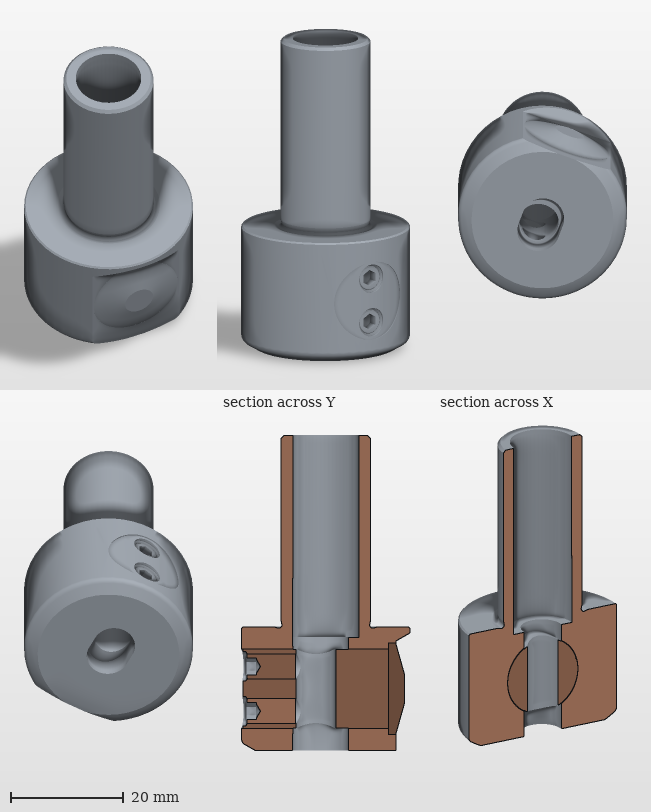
import cadquery as cq
import math

total_height = 56.0
head_height = 22.0
head_radius = 15.0

shank_radius = 8.0
shank_top_chamfer = 0.5
shank_bore_radius = 5.8
shank_bore_floor = 20.15

neck_radius = 7.85
undercut_fillet = 0.55
undercut_depth = 0.2
undercut_rim_radius = 9.1
neck_taper_height = 0.8

head_top_chamfer = 0.3
head_bottom_radius = 12.6
head_bottom_angle = 30.0
head_bottom_blend = 1.3

flat_x = 12.5
flat_top = 19.45
slope_angle = 30.0

cartridge_axis_z = 11.0
cartridge_radius = 7.05
cartridge_setback = 0.2
tool_hole_radius = 3.5
tool_hole_x = -1.75

slot_width = 7.5
slot_end_offset = 1.2
slot_center_x = slot_width / 2 + slot_end_offset - shank_bore_radius

dial_radius = 8.05
dial_back_x = 11.2
dial_face_x = 14.0
dial_face_radius = 2.7

screw_offset_z = 4.0
screw_radius = 2.2
screw_chamfer = 0.1
screw_face_x = -14.05
screw_tip_x = -5.4
screw_seat_radius = 2.6
screw_seat_cone_depth = 0.2
screw_seat_floor_x = -14.2
hex_across_flats = 2.5
hex_depth = 1.7
hex_cone_angle = 60.0


def x_cylinder(radius, start_x, end_x, z):
    """Solid cylinder along X at height z in the middle plane."""
    return (
        cq.Workplane("YZ", origin=(start_x, 0, z))
        .circle(radius)
        .extrude(end_x - start_x)
    )


def x_revolve(points, z):
    """Solid turned from (x, radius) points about the X-parallel axis at height z."""
    return (
        cq.Workplane("XZ", origin=(0, 0, z))
        .polyline(points)
        .close()
        .revolve(360, (0, 0, 0), (1, 0, 0))
    )


def turned_blank():
    """Head and shank in one turning, with the blended bottom edge and the undercut."""
    angle = math.radians(head_bottom_angle)
    corner_z = (head_radius - head_bottom_radius) * math.tan(angle)
    blend_reach = head_bottom_blend * math.tan((math.pi / 2 - angle) / 2)
    blend_start = (
        head_radius - blend_reach * math.cos(angle),
        corner_z - blend_reach * math.sin(angle),
    )
    blend_center = (head_radius - head_bottom_blend, corner_z + blend_reach)
    blend_mid_angle = (angle - math.pi / 2) / 2
    blend_mid = (
        blend_center[0] + head_bottom_blend * math.cos(blend_mid_angle),
        blend_center[1] + head_bottom_blend * math.sin(blend_mid_angle),
    )

    undercut_floor = head_height - undercut_depth
    neck_base_z = undercut_floor + undercut_fillet
    fillet_sag = undercut_fillet * (1 - math.sqrt(0.5))

    return (
        cq.Workplane("XZ")
        .moveTo(0, 0)
        .lineTo(head_bottom_radius, 0)
        .lineTo(*blend_start)
        .threePointArc(blend_mid, (head_radius, blend_center[1]))
        .lineTo(head_radius, head_height - head_top_chamfer)
        .lineTo(head_radius - head_top_chamfer, head_height)
        .lineTo(undercut_rim_radius, head_height)
        .lineTo(neck_radius + undercut_fillet, undercut_floor)
        .threePointArc(
            (neck_radius + fillet_sag, undercut_floor + fillet_sag),
            (neck_radius, neck_base_z),
        )
        .lineTo(shank_radius, neck_base_z + neck_taper_height)
        .lineTo(shank_radius, total_height - shank_top_chamfer)
        .lineTo(shank_radius - shank_top_chamfer, total_height)
        .lineTo(0, total_height)
        .close()
        .revolve(360, (0, 0, 0), (0, 1, 0))
    )


def flat_cut():
    """Material removed beside the dial: flat wall with a sloped top."""
    outer_top = flat_top + (head_radius - flat_x) * math.tan(math.radians(slope_angle))
    return (
        cq.Workplane("XZ")
        .polyline([(flat_x, 0), (head_radius, 0), (head_radius, outer_top), (flat_x, flat_top)])
        .close()
        .extrude(head_radius, both=True)
    )


def make_housing():
    shank_bore = (
        cq.Workplane("XY", origin=(0, 0, shank_bore_floor))
        .circle(shank_bore_radius)
        .extrude(total_height - shank_bore_floor)
    )
    slot = (
        cq.Workplane("XY", origin=(slot_center_x, 0, 0))
        .slot2D(2 * slot_end_offset + slot_width, slot_width)
        .extrude(shank_bore_floor)
    )
    cross_bore = x_cylinder(cartridge_radius, -head_radius, dial_back_x, cartridge_axis_z)
    dial_recess = x_cylinder(dial_radius, dial_back_x, head_radius, cartridge_axis_z)
    return (
        turned_blank()
        .cut(flat_cut())
        .cut(shank_bore)
        .cut(slot)
        .cut(cross_bore)
        .cut(dial_recess)
    )


def screw_hole(z):
    """Hole from the curved cartridge end to the tool hole, with a countersunk mouth."""
    seat_end_x = screw_seat_floor_x + screw_seat_cone_depth
    return x_revolve(
        [
            (-head_radius, 0),
            (-head_radius, screw_seat_radius),
            (screw_seat_floor_x, screw_seat_radius),
            (seat_end_x, screw_radius),
            (tool_hole_x, screw_radius),
            (tool_hole_x, 0),
        ],
        z,
    )


def make_cartridge():
    """Round bar along X whose -X end follows the curve of the head."""
    bar = x_cylinder(cartridge_radius, -head_radius, dial_back_x, cartridge_axis_z)
    end_curve = (
        cq.Workplane("XY", origin=(cartridge_setback, 0, 0))
        .circle(head_radius)
        .extrude(head_height)
    )
    tool_hole = (
        cq.Workplane("XY", origin=(tool_hole_x, 0, 0))
        .circle(tool_hole_radius)
        .extrude(head_height)
    )
    cartridge = bar.intersect(end_curve).cut(tool_hole)
    for z in screw_heights:
        cartridge = cartridge.cut(screw_hole(z))
    return cartridge


def make_dial():
    """Disc with a shallow cone that stands out of the flat."""
    return x_revolve(
        [
            (dial_back_x, 0),
            (dial_back_x, dial_radius),
            (flat_x, dial_radius),
            (dial_face_x, dial_face_radius),
            (dial_face_x, 0),
        ],
        cartridge_axis_z,
    )


def make_set_screw(z):
    """Chamfered stud with a hexagonal socket that ends in a cone."""
    stud = x_cylinder(screw_radius, screw_face_x, screw_tip_x, z).edges("<X").chamfer(screw_chamfer)
    hex_corner_radius = hex_across_flats / math.sqrt(3)
    socket = (
        cq.Workplane("YZ", origin=(screw_face_x, 0, z))
        .polygon(6, 2 * hex_corner_radius)
        .extrude(hex_depth)
        .rotate((0, 0, z), (1, 0, z), 90)
    )
    cone_base_x = screw_face_x + hex_depth
    cone_radius = hex_across_flats / 2
    cone_tip_x = cone_base_x + cone_radius / math.tan(math.radians(hex_cone_angle))
    socket_end = x_revolve([(cone_base_x, 0), (cone_base_x, cone_radius), (cone_tip_x, 0)], z)
    return stud.cut(socket).cut(socket_end)


screw_heights = [cartridge_axis_z - screw_offset_z, cartridge_axis_z + screw_offset_z]

housing = make_housing()
cartridge = make_cartridge()
dial = make_dial()
set_screws = [make_set_screw(z) for z in screw_heights]

result = cq.Compound.makeCompound(
    [housing.val(), cartridge.val(), dial.val(), *[screw.val() for screw in set_screws]]
)